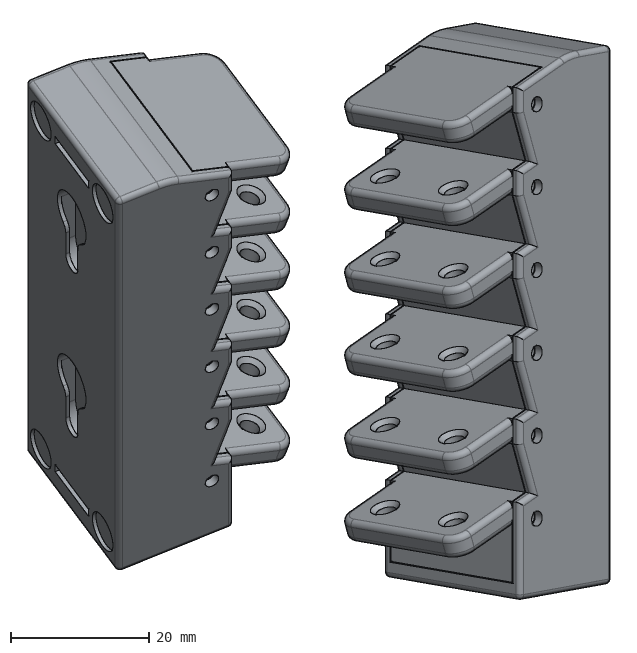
import cadquery as cq
import math


width = 27.65
height = 79.24
housing_depth = 19.15
edge_radius = 0.8

slope = 20.0
slope_sin = math.sin(math.radians(slope))
slope_cos = math.cos(math.radians(slope))
slope_tan = math.tan(math.radians(slope))
top_flat_depth = 6.85
top_bend_radius = 10.0
arm_count = 6
arm_pitch = 12.2
arm_thickness = 3.5

insert_width = 24.5
insert_front = 13.25
insert_gap = 0.15
insert_bottom = 2.5
insert_corner_radius = 3.0
total_depth = 30.5
arm_edge_radius = 0.9
arm_corner_radius = 3.0
arm_hole_diameter = 3.0
arm_countersink_depth = 0.7
arm_hole_from_tip = 5.2
arm_hole_offset = 6.9

cross_hole_diameter = 2.2
cross_hole_y = 15.6
cross_hole_drop = 2.8

slot_spacing = 70.0
end_margin = (height - slot_spacing) / 2
foot_diameter = 6.2
foot_offset = 9.3
foot_depth = 0.6
slot_width = 10.0
slot_height = 1.5
keyhole_diameter = 8.6
keyhole_neck_width = 3.6
keyhole_travel = 9.5
keyhole_depth = 3.0
keyhole_lip = 0.65
keyhole_blend_radius = 2.0
keyhole_heads_z = (27.87, 62.87)

bend_end_y = top_flat_depth + top_bend_radius * slope_sin
bend_end_z = height - top_bend_radius * (1 - slope_cos)
bend_mid_y = top_flat_depth + top_bend_radius * math.sin(math.radians(slope / 2))
bend_mid_z = height - top_bend_radius * (1 - math.cos(math.radians(slope / 2)))
top_corner_z = bend_end_z - (housing_depth - bend_end_y) * slope_tan
corner_heights = [top_corner_z - i * arm_pitch for i in range(arm_count)]

tooth_height = arm_thickness / slope_cos
notch_opening = arm_pitch - tooth_height
notch_depth = notch_opening * slope_sin * slope_cos
notch_rise = notch_depth * slope_tan

tip_y = total_depth + arm_edge_radius * (slope_cos + slope_sin - 1)
arm_length = (tip_y - housing_depth) / slope_cos
arm_root = arm_thickness * slope_tan * 2


def profile_blank():
    """Side outline with the sloped top and the row of notches, over the full width."""
    outline = (
        cq.Workplane("YZ", origin=(-width / 2, 0, 0))
        .moveTo(0, 0)
        .lineTo(0, height)
        .lineTo(top_flat_depth, height)
        .threePointArc((bend_mid_y, bend_mid_z), (bend_end_y, bend_end_z))
        .lineTo(housing_depth, top_corner_z)
    )
    for upper, lower in zip(corner_heights, corner_heights[1:]):
        outline = (
            outline.lineTo(housing_depth, upper - tooth_height)
            .lineTo(housing_depth - notch_depth, lower + notch_rise)
            .lineTo(housing_depth, lower)
        )
    return outline.lineTo(housing_depth, 0).close().extrude(width)


def insert_region(gap):
    """Block inside the housing, open to the back and the top, grown by the gap on its other sides."""
    front = insert_front - gap
    return (
        cq.Workplane("XY")
        .box(
            insert_width + 2 * gap,
            housing_depth - front,
            height,
            centered=(True, False, False),
        )
        .translate((0, front, insert_bottom - gap))
    )


def cross_holes():
    """Holes along X, one through each tooth."""
    centres = [(cross_hole_y, z - cross_hole_drop) for z in corner_heights]
    return (
        cq.Workplane("YZ", origin=(-width / 2, 0, 0))
        .pushPoints(centres)
        .circle(cross_hole_diameter / 2)
        .extrude(width)
    )


def keyhole(head_z):
    """Keyhole opening in a thin lip, with a wide track behind the lip for the screw head."""
    neck_end = head_z - keyhole_travel
    face = cq.Workplane("XZ")
    opening = (
        face.center(0, head_z)
        .circle(keyhole_diameter / 2)
        .extrude(-keyhole_lip)
        .union(
            cq.Workplane("XZ")
            .center(0, head_z - keyhole_travel / 2)
            .slot2D(keyhole_travel + keyhole_neck_width, keyhole_neck_width, 90)
            .extrude(-keyhole_lip)
        )
    )
    neck_box = cq.selectors.BoxSelector(
        (-keyhole_neck_width, -1, neck_end + keyhole_neck_width / 2),
        (keyhole_neck_width, keyhole_depth, head_z - keyhole_neck_width / 2),
    )
    opening = opening.edges("|Y").edges(neck_box).fillet(keyhole_blend_radius)
    track = (
        cq.Workplane("XZ", origin=(0, keyhole_lip, 0))
        .center(0, head_z - keyhole_travel / 2)
        .slot2D(keyhole_travel + keyhole_diameter, keyhole_diameter, 90)
        .extrude(keyhole_lip - keyhole_depth)
    )
    return opening.union(track)


def make_housing():
    """Housing with rounded outer edges, the insert's pocket and the mounting features."""
    body = profile_blank()
    body = body.faces("<X or >X or <Y or <Z").edges().fillet(edge_radius)
    body = body.cut(insert_region(insert_gap)).cut(cross_holes())

    for z in (end_margin, height - end_margin):
        slot = (
            cq.Workplane("XZ")
            .center(0, z)
            .rect(slot_width, slot_height)
            .extrude(-insert_front)
        )
        feet = (
            cq.Workplane("XZ")
            .pushPoints([(-foot_offset, z), (foot_offset, z)])
            .circle(foot_diameter / 2)
            .extrude(-foot_depth)
        )
        body = body.cut(slot).cut(feet)

    for head_z in keyhole_heads_z:
        body = body.cut(keyhole(head_z))
    return body


def cut_arm_holes(arm):
    """Pair of countersunk holes through an arm that lies flat with its top on Z = 0."""
    down = cq.Vector(0, 0, -1)
    bore_radius = arm_hole_diameter / 2
    mouth_radius = bore_radius + arm_countersink_depth
    for side in (-1, 1):
        centre = cq.Vector(side * arm_hole_offset, arm_length - arm_hole_from_tip, 0)
        bore = cq.Solid.makeCylinder(bore_radius, arm_thickness, centre, down)
        countersink = cq.Solid.makeCone(mouth_radius, bore_radius, arm_countersink_depth, centre, down)
        arm = arm.cut(cq.Workplane(bore)).cut(cq.Workplane(countersink))
    return arm


def make_arm(corner_z, has_holes):
    """One rounded arm, from the housing's back plane outwards."""
    arm = (
        cq.Workplane("XY")
        .box(insert_width, arm_length + arm_root, arm_thickness, centered=(True, False, False))
        .translate((0, -arm_root, -arm_thickness))
    )
    arm = arm.edges("|Z and >Y").fillet(arm_corner_radius)
    arm = arm.faces(">Z or <Z").edges("not(<Y)").fillet(arm_edge_radius)
    if has_holes:
        arm = cut_arm_holes(arm)
    arm = arm.rotate((0, 0, 0), (1, 0, 0), -slope).translate((0, housing_depth, corner_z))
    outside = (
        cq.Workplane("XY")
        .box(width, total_depth, 2 * height, centered=(True, False, True))
        .translate((0, housing_depth, height / 2))
    )
    return arm.intersect(outside)


def make_insert():
    """Core that fills the housing's pocket, with the row of arms; the top arm has no holes."""
    body = profile_blank().intersect(insert_region(0))
    body = body.edges("|X and <Y and <Z").fillet(insert_corner_radius)
    for i, corner_z in enumerate(corner_heights):
        body = body.union(make_arm(corner_z, i > 0))
    return body.cut(cross_holes())


housing = make_housing()
insert = make_insert()

result = cq.Compound.makeCompound([housing.val(), insert.val()])